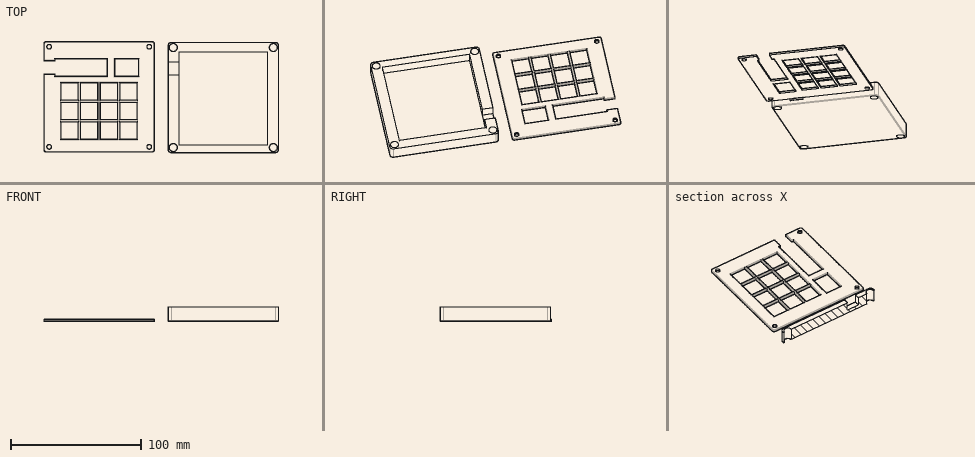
import cadquery as cq
side = 84.7
screw_inset = 4.0
screw_spacing = side - 2 * screw_inset

plate_thickness = 1.65
plate_corner_radius = 1.75
plate_edge_radius = 0.5
plate_screw_diameter = 3.4

key_window = 13.0
key_pitch = 15.075
key_columns = 4
key_rows = 3
key_grid_x = -0.15
key_grid_y = -10.9

window_top = 29.0
window_bottom = 15.8
display_window_left = -33.7
display_window_right = 6.0
square_window_left = 12.0
square_window_right = 30.0
plate_slot_top = 27.5
plate_slot_bottom = 17.4
selection_margin = 0.1

case_offset_x = 95.14
case_offset_y = -0.6
case_height = 11.0
case_corner_radius = 2.5
case_edge_radius = 0.5
case_screw_diameter = 6.0

cavity_depth = 8.0
cavity_left = -34.0
cavity_right = 34.0
cavity_top = 35.1
cavity_bottom = -36.4
case_slot_depth = 7.5
case_slot_top = 27.3
case_slot_bottom = 17.3


def block(left, right, bottom, top, low, high):
    """Box given by its limits along X, Y and Z."""
    size = (right - left, top - bottom, high - low)
    return cq.Workplane("XY").box(*size, centered=False).translate((left, bottom, low))


def rounded_square(corner_radius, height):
    """Square slab with rounded vertical corners."""
    return cq.Workplane("XY").rect(side, side).extrude(height).edges("|Z").fillet(corner_radius)


def screw_holes(diameter, height):
    """Four through cylinders at the corners of the screw square."""
    return (
        cq.Workplane("XY")
        .rect(screw_spacing, screw_spacing, forConstruction=True)
        .vertices()
        .circle(diameter / 2)
        .extrude(height)
    )


def plate_opening(left, right, bottom, top):
    """Rectangular opening through the full plate thickness."""
    return block(left, right, bottom, top, 0, plate_thickness)


def key_openings():
    """Grid of square key windows."""
    return (
        cq.Workplane("XY")
        .center(key_grid_x, key_grid_y)
        .rarray(key_pitch, key_pitch, key_columns, key_rows)
        .rect(key_window, key_window)
        .extrude(plate_thickness)
    )


def make_plate():
    plate = rounded_square(plate_corner_radius, plate_thickness)
    plate = plate.cut(plate_opening(display_window_left, display_window_right, window_bottom, window_top))
    plate = plate.cut(plate_opening(square_window_left, square_window_right, window_bottom, window_top))
    plate = plate.cut(plate_opening(-side / 2, display_window_left, plate_slot_bottom, plate_slot_top))
    plate = plate.cut(key_openings())

    slot_region = cq.selectors.BoxSelector(
        (-side / 2 - selection_margin, plate_slot_bottom - selection_margin, 0),
        (display_window_left + selection_margin, plate_slot_top + selection_margin, plate_thickness),
    )
    slot_corners = plate.edges("|Z").edges(slot_region)
    plate = plate.faces(">Z").edges().add(slot_corners).fillet(plate_edge_radius)

    return plate.cut(screw_holes(plate_screw_diameter, plate_thickness))


def make_case():
    case = rounded_square(case_corner_radius, case_height)
    case = case.faces("<Z").edges().fillet(case_edge_radius)

    cavity_floor = case_height - cavity_depth
    case = case.cut(block(cavity_left, cavity_right, cavity_bottom, cavity_top, cavity_floor, case_height))

    slot_floor = case_height - case_slot_depth
    case = case.cut(block(-side / 2, cavity_left, case_slot_bottom, case_slot_top, slot_floor, case_height))

    case = case.cut(screw_holes(case_screw_diameter, case_height))
    return case.translate((case_offset_x, case_offset_y, 0))


plate = make_plate()
case = make_case()
result = cq.Compound.makeCompound([plate.val(), case.val()])